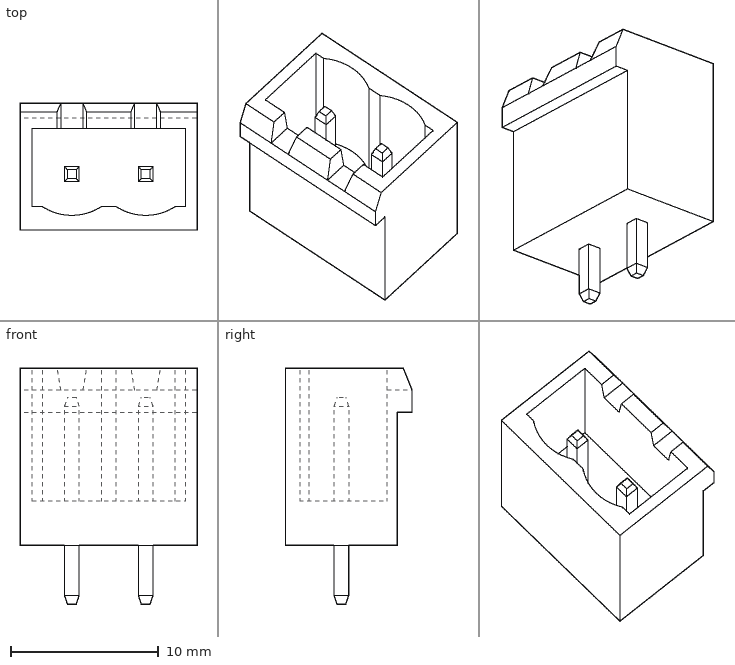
import cadquery as cq
import math

housing_width = 12.0
housing_depth = 7.6
housing_height = 12.0

lip_overhang = 1.0
lip_height = 3.0
lip_chamfer_depth = 0.6
lip_chamfer_height = 1.5
lip_rear = housing_depth + lip_overhang

cavity_width = 10.4
cavity_front = 1.6
cavity_rear = 6.9
cavity_depth = 9.0
cavity_floor = housing_height - cavity_depth

pitch = 5.0
contact_xs = (-pitch / 2, pitch / 2)
contact_y = 3.8
contact_side = 1.0
contact_tip_side = 0.6
contact_tip_length = 0.6
contact_tail_length = 4.0
contact_top = housing_height - 2.0

scallop_chord = 4.0
scallop_sag = 0.6

notch_top_width = 2.0
notch_floor_width = 1.5
notch_depth = lip_chamfer_height


def make_housing():
    """Side profile with the chamfered lip, extruded across the width."""
    return (
        cq.Workplane("YZ", origin=(-housing_width / 2, 0, 0))
        .moveTo(0, 0)
        .lineTo(housing_depth, 0)
        .lineTo(housing_depth, housing_height - lip_height)
        .lineTo(lip_rear, housing_height - lip_height)
        .lineTo(lip_rear, housing_height - lip_chamfer_height)
        .lineTo(lip_rear - lip_chamfer_depth, housing_height)
        .lineTo(0, housing_height)
        .close()
        .extrude(housing_width)
    )


def make_cavity():
    """Rectangular pocket widened by one round scallop per contact."""
    cavity = (
        cq.Workplane("XY", origin=(0, (cavity_front + cavity_rear) / 2, cavity_floor))
        .rect(cavity_width, cavity_rear - cavity_front)
        .extrude(cavity_depth)
    )
    for x in contact_xs:
        scallop = (
            cq.Workplane("XY", origin=(x, cavity_front, cavity_floor))
            .moveTo(-scallop_chord / 2, 0)
            .threePointArc((0, -scallop_sag), (scallop_chord / 2, 0))
            .close()
            .extrude(cavity_depth)
        )
        cavity = cavity.union(scallop)
    return cavity


def make_notch(x):
    """Trapezoidal channel through the rear wall, from the cavity to the lip."""
    return (
        cq.Workplane("XZ", origin=(x, lip_rear, housing_height))
        .moveTo(-notch_top_width / 2, 0)
        .lineTo(-notch_floor_width / 2, -notch_depth)
        .lineTo(notch_floor_width / 2, -notch_depth)
        .lineTo(notch_top_width / 2, 0)
        .close()
        .extrude(lip_rear - cavity_rear)
    )


def make_contact(x):
    """Square pin through the floor, tapered at both ends."""
    shank_bottom = contact_tip_length - contact_tail_length
    shank_top = contact_top - contact_tip_length
    contact = (
        cq.Workplane("XY", origin=(x, contact_y, shank_bottom))
        .rect(contact_side, contact_side)
        .extrude(shank_top - shank_bottom)
    )
    taper = math.degrees(math.atan((contact_side - contact_tip_side) / 2 / contact_tip_length))
    for face in (">Z", "<Z"):
        contact = (
            contact.faces(face)
            .workplane()
            .rect(contact_side, contact_side)
            .extrude(contact_tip_length, taper=taper)
        )
    return contact


result = make_housing().cut(make_cavity())
for contact_x in contact_xs:
    result = result.cut(make_notch(contact_x))
    result = result.union(make_contact(contact_x))